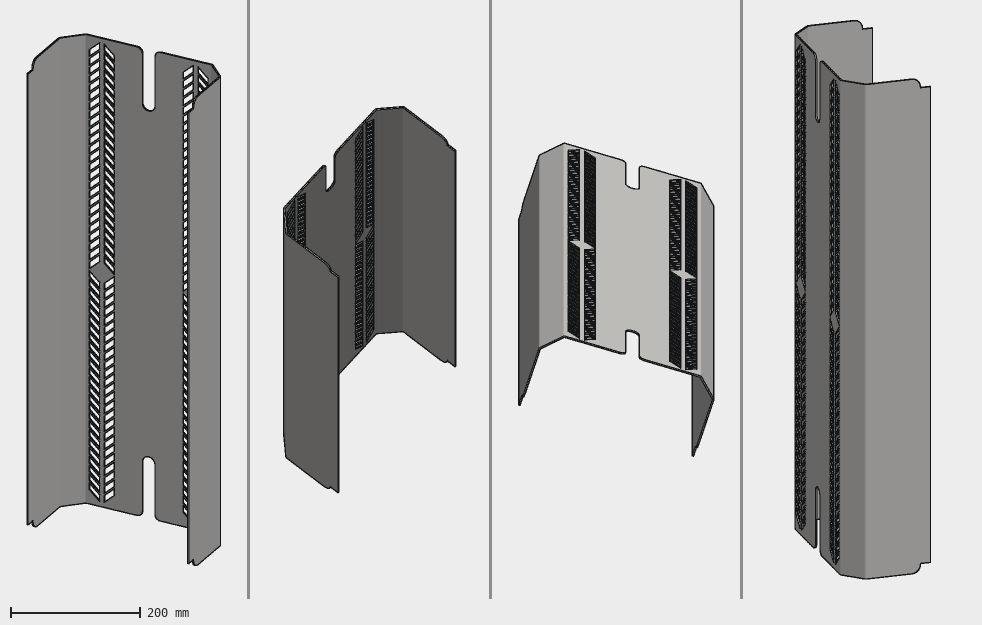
import cadquery as cq
import math

length = 813.0
width = 284.0
depth = 137.0
thickness = 2.5
bend_angle = 45.0
inner_bend_radius = 2.0
bevel = 31.0

end_slot_width = 22.0
end_slot_depth = 106.5
end_slot_corner_radius = 10.0

step_depth = 16.0
step_height = 15.5
step_radius = 14.0

spine_offset = 82.0
spine_width = 8.0
vent_width = 18.0
vent_height = 11.0
vent_rise = 16.0
vents_per_column = 25
first_vent_height = 15.5
last_vent_height = 384.0
vent_pitch = (last_vent_height - first_vent_height) / (vents_per_column - 1)

half_width = width / 2
half_length = length / 2
back = depth / 2
front = -depth / 2
cut_clearance = thickness
panel_cut_depth = thickness + 2 * cut_clearance


def make_bevelled_block(inset, bend_radius):
    """Solid filling the channel, its walls moved inwards by the inset."""
    corner_shift = inset * math.tan(math.radians(bend_angle / 2))
    wall_x = half_width - inset
    back_y = back - inset
    bend_x = half_width - bevel - corner_shift
    bend_y = back - bevel - corner_shift
    outline = [
        (wall_x, front),
        (wall_x, bend_y),
        (bend_x, back_y),
        (-bend_x, back_y),
        (-wall_x, bend_y),
        (-wall_x, front),
    ]
    block = cq.Workplane("XY", origin=(0, 0, -half_length)).polyline(outline).close().extrude(length)
    return block.edges("|Z and (not <Y)").fillet(bend_radius)


def make_channel():
    """Hollow the outer block to leave a folded sheet of even thickness."""
    outer = make_bevelled_block(0, inner_bend_radius + thickness)
    inner = make_bevelled_block(thickness, inner_bend_radius)
    return outer.cut(inner)


def make_end_slot():
    """Cutter for the upper end slot, flared at its mouth by rounded corners."""
    half = end_slot_width / 2
    radius = end_slot_corner_radius
    bottom = half_length - end_slot_depth
    diagonal = radius * math.sqrt(0.5)
    arc_x = half + radius - diagonal
    arc_z = half_length - radius + diagonal
    return (
        cq.Workplane("XZ", origin=(0, back + cut_clearance, 0))
        .moveTo(half + radius, half_length)
        .threePointArc((arc_x, arc_z), (half, half_length - radius))
        .lineTo(half, bottom + half)
        .threePointArc((0, bottom), (-half, bottom + half))
        .lineTo(-half, half_length - radius)
        .threePointArc((-arc_x, arc_z), (-half - radius, half_length))
        .close()
        .extrude(panel_cut_depth)
    )


def make_wall_step():
    """Cutter for the upper free corners of both side walls."""
    edge = front + step_depth
    base = half_length - step_height
    diagonal = step_radius * math.sqrt(0.5)
    arc_middle = (edge + step_radius - diagonal, half_length - step_radius + diagonal)
    return (
        cq.Workplane("YZ")
        .moveTo(front, base)
        .lineTo(edge, base)
        .lineTo(edge, half_length - step_radius)
        .threePointArc(arc_middle, (edge + step_radius, half_length))
        .lineTo(front, half_length)
        .close()
        .extrude(half_width, both=True)
    )


def make_vent_columns():
    """Cutters for the upper vents, each slanting up towards its spine."""
    vents = cq.Workplane("XZ", origin=(0, back + cut_clearance, 0))
    for spine_x in (-spine_offset, spine_offset):
        for side in (-1, 1):
            near = spine_x + side * spine_width / 2
            far = near + side * vent_width
            for index in range(vents_per_column):
                centre = first_vent_height + index * vent_pitch
                near_z = centre + vent_rise / 2
                far_z = centre - vent_rise / 2
                vents = (
                    vents.moveTo(near, near_z - vent_height / 2)
                    .lineTo(near, near_z + vent_height / 2)
                    .lineTo(far, far_z + vent_height / 2)
                    .lineTo(far, far_z - vent_height / 2)
                    .close()
                )
    return vents.extrude(panel_cut_depth)


result = make_channel()
for cutter in (make_end_slot(), make_wall_step(), make_vent_columns()):
    result = result.cut(cutter).cut(cutter.mirror("XY"))